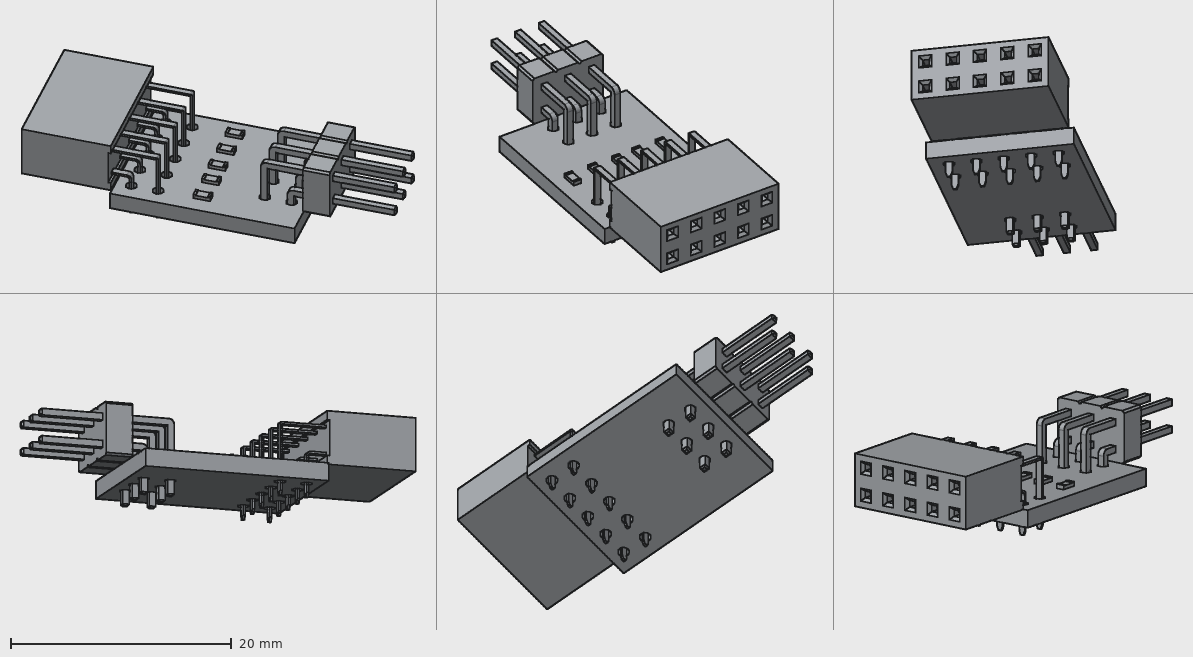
import cadquery as cq


BOARD_LENGTH = 17.55
BOARD_WIDTH = 13.7
BOARD_THICKNESS = 1.65
PIN_HOLE_DIAMETER = 1.0

CONTACTS_PER_ROW = 5
SOCKET_LENGTH = 8.5
SOCKET_WIDTH = 12.7
SOCKET_HEIGHT = 5.0
SOCKET_BOARD_GAP = 0.07
SOCKET_CENTRE_Y = -0.05
BACK_CHANNEL_DEPTH = 0.25
BACK_LIP_HEIGHT = 0.83

PITCH = SOCKET_WIDTH / CONTACTS_PER_ROW
LOWER_ROW_Z = (SOCKET_HEIGHT - PITCH) / 2
UPPER_ROW_Z = LOWER_ROW_Z + PITCH

CONTACT_WIDTH = 0.62
CONTACT_THICKNESS = 0.2
CONTACT_END_Z = -2.95
CONTACT_TIP_WIDTH = 0.3
CONTACT_TIP_LENGTH = 0.4
NEAR_CONTACT_X = 1.5
UPPER_CONTACT_BEND = 0.17
LOWER_CONTACT_BEND = 0.45
OPENING_WIDTH = 1.2
OPENING_DEPTH = 0.3
CAVITY_WIDTH = CONTACT_WIDTH
CAVITY_DEPTH = 4.15
BLADE_SETBACK = 1.05

PINS_PER_ROW = 3
HEADER_LENGTH = 2.53
HEADER_CENTRE_Y = -0.52
HEADER_CHAMFER = 0.2
PIN_WIDTH = 0.62
PIN_BEND_RADIUS = 0.55
PIN_TIP_CHAMFER = 0.155
PIN_REACH = 6.0
NEAR_PIN_SETBACK = 1.5
PIN_END_X = BOARD_LENGTH + HEADER_LENGTH + PIN_REACH
PIN_END_Z = -3.08
NEAR_PIN_X = BOARD_LENGTH - NEAR_PIN_SETBACK

RESISTOR_LENGTH = 1.6
RESISTOR_WIDTH = 0.8
RESISTOR_HEIGHT = 0.4
TERMINAL_LENGTH = 0.225
RESISTOR_TOP_STEP = 0.07
RESISTOR_X = 8.1
FRONT_RESISTOR_SHIFT_X = 0.1
FRONT_RESISTOR_SHIFT_Y = 0.28
FRONT_RESISTOR_COUNT = 2


def row_positions(count, centre_y):
    """Y of each place in a row, from the front (-Y) to the back."""
    return [centre_y + (i - (count - 1) / 2) * PITCH for i in range(count)]


CONTACT_YS = row_positions(CONTACTS_PER_ROW, SOCKET_CENTRE_Y)
CONTACT_ROWS = [
    (LOWER_ROW_Z, NEAR_CONTACT_X, LOWER_CONTACT_BEND),
    (UPPER_ROW_Z, NEAR_CONTACT_X + PITCH, UPPER_CONTACT_BEND),
]
PIN_YS = row_positions(PINS_PER_ROW, HEADER_CENTRE_Y)
PIN_ROWS = [
    (LOWER_ROW_Z, NEAR_PIN_X),
    (UPPER_ROW_Z, NEAR_PIN_X - PITCH),
]
SOCKET_BACK_X = -SOCKET_BOARD_GAP
SOCKET_FRONT_X = SOCKET_BACK_X - SOCKET_LENGTH


def box_between(x_range, y_range, z_range):
    """A box from its lowest and highest X, Y and Z."""
    size = [high - low for low, high in (x_range, y_range, z_range)]
    corner = (x_range[0], y_range[0], z_range[0])
    return cq.Workplane("XY").box(*size, centered=False).translate(corner)


def centred(middle, width):
    """The range of the given width about a middle."""
    return (middle - width / 2, middle + width / 2)


def make_board():
    board = box_between((0, BOARD_LENGTH), centred(0, BOARD_WIDTH), (-BOARD_THICKNESS, 0))
    contact_holes = [(x, y) for _, x, _ in CONTACT_ROWS for y in CONTACT_YS]
    pin_holes = [(x, y) for _, x in PIN_ROWS for y in PIN_YS]
    drills = (
        cq.Workplane("XY")
        .pushPoints(contact_holes + pin_holes)
        .circle(PIN_HOLE_DIAMETER / 2)
        .extrude(-BOARD_THICKNESS)
    )
    return board.cut(drills)


def make_opening(y, z):
    """Space of one socket opening: a square funnel and the deeper square cavity behind it."""
    mouth = cq.Workplane("YZ", origin=(SOCKET_FRONT_X, y, z))
    funnel = (
        mouth.rect(OPENING_WIDTH, OPENING_WIDTH)
        .workplane(offset=OPENING_DEPTH)
        .rect(CAVITY_WIDTH, CAVITY_WIDTH)
        .loft(ruled=True)
    )
    cavity = mouth.rect(CAVITY_WIDTH, CAVITY_WIDTH).extrude(CAVITY_DEPTH)
    return funnel.union(cavity)


def make_contact(y, z, leg_x, bend_radius):
    """A flat strip that runs back from inside the cavity, bends down and ends in a tapered tip."""
    half = CONTACT_THICKNESS / 2
    start_x = SOCKET_FRONT_X + BLADE_SETBACK
    run = box_between((start_x, leg_x + half), centred(y, CONTACT_WIDTH), centred(z, CONTACT_THICKNESS))
    leg = (
        cq.Workplane("YZ", origin=(leg_x - half, y, 0))
        .moveTo(-CONTACT_WIDTH / 2, z + half)
        .lineTo(-CONTACT_WIDTH / 2, CONTACT_END_Z + CONTACT_TIP_LENGTH)
        .lineTo(-CONTACT_TIP_WIDTH / 2, CONTACT_END_Z)
        .lineTo(CONTACT_TIP_WIDTH / 2, CONTACT_END_Z)
        .lineTo(CONTACT_WIDTH / 2, CONTACT_END_Z + CONTACT_TIP_LENGTH)
        .lineTo(CONTACT_WIDTH / 2, z + half)
        .close()
        .extrude(CONTACT_THICKNESS)
    )
    outer_corner = cq.selectors.NearestToPointSelector((leg_x + half, y, z + half))
    bent = run.union(leg).edges(outer_corner).fillet(bend_radius)
    inner_radius = bend_radius - CONTACT_THICKNESS
    if inner_radius > 0:
        inner_corner = cq.selectors.NearestToPointSelector((leg_x - half, y, z - half))
        bent = bent.edges(inner_corner).fillet(inner_radius)
    return bent


def make_socket():
    socket = box_between(
        (SOCKET_FRONT_X, SOCKET_BACK_X),
        centred(SOCKET_CENTRE_Y, SOCKET_WIDTH),
        (0, SOCKET_HEIGHT),
    )
    back_channel = box_between(
        (SOCKET_BACK_X - BACK_CHANNEL_DEPTH, SOCKET_BACK_X),
        centred(SOCKET_CENTRE_Y, SOCKET_WIDTH),
        (BACK_LIP_HEIGHT, SOCKET_HEIGHT - BACK_LIP_HEIGHT),
    )
    socket = socket.cut(back_channel)
    for z, leg_x, bend_radius in CONTACT_ROWS:
        for y in CONTACT_YS:
            socket = socket.cut(make_opening(y, z))
            socket = socket.union(make_contact(y, z, leg_x, bend_radius))
    return socket


def make_pin(y, z, leg_x):
    """A square pin bent downwards, with both ends chamfered."""
    half = PIN_WIDTH / 2
    y_range = centred(y, PIN_WIDTH)
    run = box_between((leg_x - half, PIN_END_X), y_range, centred(z, PIN_WIDTH))
    run = run.faces(">X").chamfer(PIN_TIP_CHAMFER)
    leg = box_between(centred(leg_x, PIN_WIDTH), y_range, (PIN_END_Z, z + half))
    leg = leg.faces("<Z").chamfer(PIN_TIP_CHAMFER)
    outer_corner = cq.selectors.NearestToPointSelector((leg_x - half, y, z + half))
    return run.union(leg).edges(outer_corner).fillet(PIN_BEND_RADIUS)


def make_header_segment(y):
    """The length of header block that holds one pin pair, with its four long edges chamfered."""
    block = box_between(
        (BOARD_LENGTH, BOARD_LENGTH + HEADER_LENGTH), centred(y, PITCH), (0, SOCKET_HEIGHT)
    )
    return block.edges("|X").chamfer(HEADER_CHAMFER)


def make_header():
    header = make_header_segment(PIN_YS[0])
    for y in PIN_YS[1:]:
        header = header.union(make_header_segment(y))
    for z, leg_x in PIN_ROWS:
        for y in PIN_YS:
            header = header.union(make_pin(y, z, leg_x))
    return header


def make_resistor(x, y):
    """A chip resistor whose top is stepped down between its two end terminals."""
    chip = box_between(centred(x, RESISTOR_LENGTH), centred(y, RESISTOR_WIDTH), (0, RESISTOR_HEIGHT))
    top_step = box_between(
        centred(x, RESISTOR_LENGTH - 2 * TERMINAL_LENGTH),
        centred(y, RESISTOR_WIDTH),
        (RESISTOR_HEIGHT - RESISTOR_TOP_STEP, RESISTOR_HEIGHT),
    )
    return chip.cut(top_step)


def make_resistors():
    """One resistor in line with each contact pair; the front ones sit slightly off line."""
    resistors = []
    for i, y in enumerate(CONTACT_YS):
        if i < FRONT_RESISTOR_COUNT:
            place = (RESISTOR_X + FRONT_RESISTOR_SHIFT_X, y + FRONT_RESISTOR_SHIFT_Y)
        else:
            place = (RESISTOR_X, y)
        resistors.append(make_resistor(*place))
    return resistors


board = make_board()
socket = make_socket()
header = make_header()
resistors = make_resistors()

result = cq.Compound.makeCompound(
    [board.val(), socket.val(), header.val(), *[resistor.val() for resistor in resistors]]
)